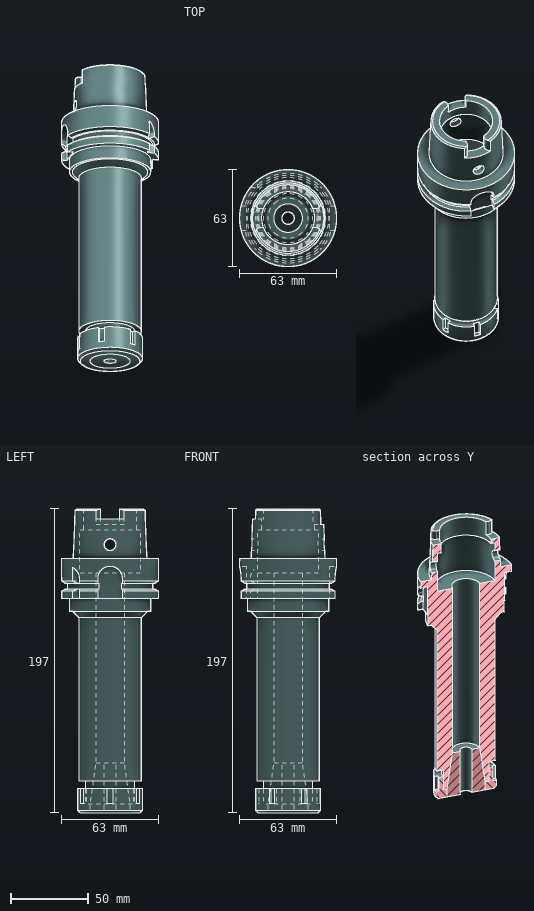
import cadquery as cq
import math

LENGTH = 197.0

TAPER_LENGTH = 32.0
TAPER_BASE_RADIUS = 24.0
TAPER_TIP_RADIUS = 22.9
TIP_CHAMFER_WIDTH = 1.2
TIP_CHAMFER_HEIGHT = 0.8
KEYWAY_WIDTH = 12.2
KEYWAY_ROUNDING = 3.0
NEAR_KEYWAY_DEPTH = 6.3
FAR_KEYWAY_DEPTH = 9.8
ACCESS_HOLE_DIAMETER = 7.5
ACCESS_HOLE_DEPTH = 23.0

MOUTH_RADIUS = 17.1
MOUTH_DEPTH = 13.4
CAVITY_RADIUS = 19.7
CAVITY_DEPTH = 41.4
BORE_RADIUS = 9.3

FLANGE_RADIUS = 31.5
FLANGE_HEIGHT = 26.0
GROOVE_RADIUS = 27.8
GROOVE_TOP_DEPTH = 16.2
GROOVE_BOTTOM_DEPTH = 19.9
GROOVE_TOP_BEVEL = 1.5
GROOVE_BOTTOM_BEVEL = 1.4
GROOVE_BEVEL_WIDTH = 2.4

DRIVE_SLOT_WIDTH = 16.0
DRIVE_SLOT_TOP_DEPTH = 5.1
DRIVE_SLOT_FLOOR = 26.8
NOTCH_OFFSET = 19.9

COLLAR_RADIUS = 26.4
COLLAR_HEIGHT = 8.3
CONE_RADIUS = 24.5
BODY_RADIUS = 20.3
BODY_BOTTOM_Z = 20.7
NECK_RADIUS = 16.0

NUT_RADIUS = 21.0
NUT_HEIGHT = 16.0
NUT_CHAMFER = 1.8
NUT_SLOT_COUNT = 6
NUT_SLOT_WIDTH = 4.0
NUT_SLOT_BOTTOM_Z = 6.1
NUT_SLOT_FLOOR_RADIUS = 18.7
NUT_FLOOR = 6.0

COLLET_NOSE_RADIUS = 13.0
COLLET_BORE_RADIUS = 4.0
COLLET_HALF_ANGLE = 8.0

FLANGE_TOP_Z = LENGTH - TAPER_LENGTH
FLANGE_BOTTOM_Z = FLANGE_TOP_Z - FLANGE_HEIGHT
COLLAR_BOTTOM_Z = FLANGE_BOTTOM_Z - COLLAR_HEIGHT
CONE_BOTTOM_Z = COLLAR_BOTTOM_Z - (CONE_RADIUS - BODY_RADIUS)
CAVITY_FLOOR_Z = LENGTH - CAVITY_DEPTH
COLLET_TAPER_LENGTH = (COLLET_NOSE_RADIUS - BORE_RADIUS) / math.tan(math.radians(COLLET_HALF_ANGLE))
COLLET_TOP_Z = NUT_FLOOR + COLLET_TAPER_LENGTH


def revolve_profile(points):
    """Turn a closed (radius, z) outline around the Z axis."""
    return cq.Workplane("XZ").polyline(points).close().revolve(360, (0, 0), (0, 1))


def cylinder(radius, bottom_z, top_z):
    return cq.Workplane("XY").workplane(offset=bottom_z).circle(radius).extrude(top_z - bottom_z)


def box(x_range, y_range, z_range):
    """Box between two limits along each axis."""
    sizes = [high - low for low, high in (x_range, y_range, z_range)]
    corner = (x_range[0], y_range[0], z_range[0])
    return cq.Workplane("XY").box(*sizes, centered=False).translate(corner)


def holder_blank():
    """Turned outside of the holder, from the neck's end up to the taper's tip."""
    groove_top_z = FLANGE_TOP_Z - GROOVE_TOP_DEPTH
    groove_bottom_z = FLANGE_TOP_Z - GROOVE_BOTTOM_DEPTH
    groove_bevel_radius = FLANGE_RADIUS - GROOVE_BEVEL_WIDTH
    return revolve_profile([
        (0, NUT_FLOOR),
        (NECK_RADIUS, NUT_FLOOR),
        (NECK_RADIUS, BODY_BOTTOM_Z),
        (BODY_RADIUS, BODY_BOTTOM_Z),
        (BODY_RADIUS, CONE_BOTTOM_Z),
        (CONE_RADIUS, COLLAR_BOTTOM_Z),
        (COLLAR_RADIUS, COLLAR_BOTTOM_Z),
        (COLLAR_RADIUS, FLANGE_BOTTOM_Z),
        (FLANGE_RADIUS, FLANGE_BOTTOM_Z),
        (FLANGE_RADIUS, groove_bottom_z - GROOVE_BOTTOM_BEVEL),
        (groove_bevel_radius, groove_bottom_z),
        (GROOVE_RADIUS, groove_bottom_z),
        (GROOVE_RADIUS, groove_top_z),
        (groove_bevel_radius, groove_top_z),
        (FLANGE_RADIUS, groove_top_z + GROOVE_TOP_BEVEL),
        (FLANGE_RADIUS, FLANGE_TOP_Z),
        (TAPER_BASE_RADIUS, FLANGE_TOP_Z),
        (TAPER_TIP_RADIUS, LENGTH - TIP_CHAMFER_HEIGHT),
        (TAPER_TIP_RADIUS - TIP_CHAMFER_WIDTH, LENGTH),
        (0, LENGTH),
    ])


def holder_interior():
    """Cavity of the taper, through bore and conical collet seat."""
    return revolve_profile([
        (0, NUT_FLOOR),
        (COLLET_NOSE_RADIUS, NUT_FLOOR),
        (BORE_RADIUS, COLLET_TOP_Z),
        (BORE_RADIUS, CAVITY_FLOOR_Z),
        (CAVITY_RADIUS, CAVITY_FLOOR_Z),
        (CAVITY_RADIUS, LENGTH - MOUTH_DEPTH),
        (MOUTH_RADIUS, LENGTH - MOUTH_DEPTH),
        (MOUTH_RADIUS, LENGTH),
        (0, LENGTH),
    ])


def keyway(side, depth):
    """Notch across the taper's rim on one X side, flaring out in an arc at its outer corners."""
    half_width = KEYWAY_WIDTH / 2
    flare_width = half_width + KEYWAY_ROUNDING
    flare_end_x = math.sqrt(TAPER_TIP_RADIUS**2 - flare_width**2)
    flare_start_x = flare_end_x - KEYWAY_ROUNDING
    arc_inset = KEYWAY_ROUNDING * math.sqrt(0.5)
    arc_x = flare_start_x + arc_inset
    arc_y = flare_width - arc_inset
    outline = (
        cq.Workplane("XY")
        .workplane(offset=LENGTH - depth)
        .moveTo(0, -half_width)
        .lineTo(side * flare_start_x, -half_width)
        .threePointArc((side * arc_x, -arc_y), (side * flare_end_x, -flare_width))
        .lineTo(side * FLANGE_RADIUS, -flare_width)
        .lineTo(side * FLANGE_RADIUS, flare_width)
        .lineTo(side * flare_end_x, flare_width)
        .threePointArc((side * arc_x, arc_y), (side * flare_start_x, half_width))
        .lineTo(0, half_width)
        .close()
    )
    return outline.extrude(depth)


def access_hole():
    """Cross hole through both walls of the taper."""
    return (
        cq.Workplane("YZ", origin=(-FLANGE_RADIUS, 0, LENGTH - ACCESS_HOLE_DEPTH))
        .circle(ACCESS_HOLE_DIAMETER / 2)
        .extrude(2 * FLANGE_RADIUS)
    )


def round_topped_slot(center_y, floor_x):
    """Slot in the -X side of the flange, open at the bottom and round at the top."""
    radius = DRIVE_SLOT_WIDTH / 2
    arc_center_z = FLANGE_TOP_Z - DRIVE_SLOT_TOP_DEPTH - radius
    return (
        cq.Workplane("YZ", origin=(-FLANGE_RADIUS, center_y, 0))
        .moveTo(-radius, FLANGE_BOTTOM_Z)
        .lineTo(-radius, arc_center_z)
        .threePointArc((0, arc_center_z + radius), (radius, arc_center_z))
        .lineTo(radius, FLANGE_BOTTOM_Z)
        .close()
        .extrude(floor_x + FLANGE_RADIUS)
    )


def make_holder():
    drive_slot = round_topped_slot(0, -DRIVE_SLOT_FLOOR)
    corner_notch = round_topped_slot(NOTCH_OFFSET + DRIVE_SLOT_WIDTH / 2, -NOTCH_OFFSET)
    return (
        holder_blank()
        .cut(holder_interior())
        .cut(keyway(-1, NEAR_KEYWAY_DEPTH))
        .cut(keyway(1, FAR_KEYWAY_DEPTH))
        .cut(access_hole())
        .cut(drive_slot)
        .cut(drive_slot.mirror("YZ"))
        .cut(corner_notch)
    )


def make_nut():
    """Round nut with a recess for the neck, a hole for the collet and spanner slots."""
    nut = (
        cylinder(NUT_RADIUS, 0, NUT_HEIGHT)
        .faces("<Z")
        .chamfer(NUT_CHAMFER)
        .cut(cylinder(COLLET_NOSE_RADIUS, 0, NUT_FLOOR))
        .cut(cylinder(NECK_RADIUS, NUT_FLOOR, NUT_HEIGHT))
    )
    slot = box(
        (NUT_SLOT_FLOOR_RADIUS, NUT_RADIUS),
        (-NUT_SLOT_WIDTH / 2, NUT_SLOT_WIDTH / 2),
        (NUT_SLOT_BOTTOM_Z, NUT_HEIGHT),
    )
    for index in range(NUT_SLOT_COUNT):
        nut = nut.cut(slot.rotate((0, 0, 0), (0, 0, 1), index * 360 / NUT_SLOT_COUNT))
    return nut


def make_collet():
    """Straight nose inside the nut, tapering up into the holder, with a through bore."""
    return revolve_profile([
        (COLLET_BORE_RADIUS, 0),
        (COLLET_NOSE_RADIUS, 0),
        (COLLET_NOSE_RADIUS, NUT_FLOOR),
        (BORE_RADIUS, COLLET_TOP_Z),
        (COLLET_BORE_RADIUS, COLLET_TOP_Z),
    ])


holder = make_holder()
nut = make_nut()
collet = make_collet()

result = cq.Compound.makeCompound([holder.val(), nut.val(), collet.val()])